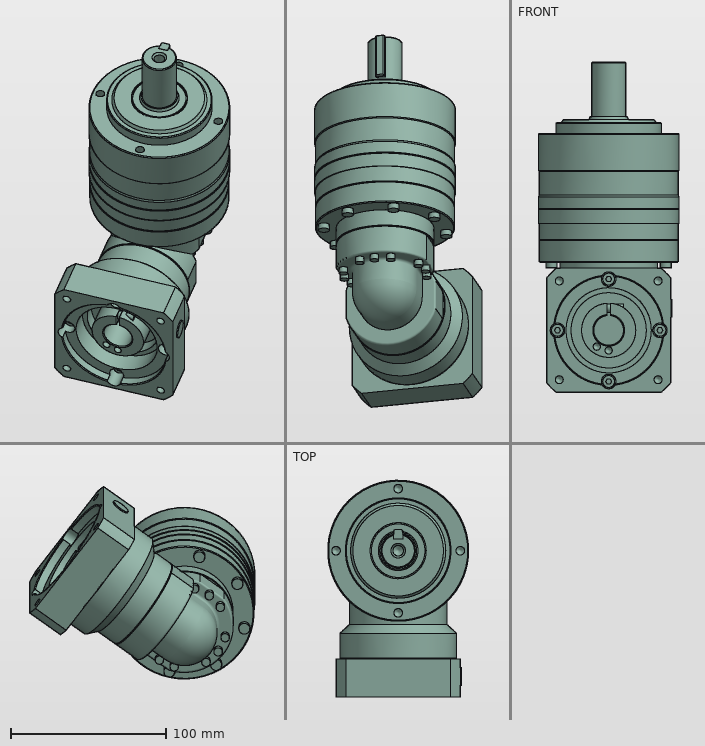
import cadquery as cq
import math


overall_width = 91.0
overall_depth = 140.0
overall_height = 213.0

clearance = 2.1

flange_width = 80.0
flange_half = flange_width / 2
flange_corner_radius = 52.5
motor_face = overall_depth - overall_width / 2
flange_thick = 24.7
flange_back = motor_face - flange_thick
flange_hole_spacing = 63.7
flange_hole_offset = flange_hole_spacing / 2
flange_hole_radius = 2.5
flange_hole_depth = 12.8

pilot_radius = 35.0
pilot_depth = 6.0
pilot_chamfer = 0.6
upper_bore_radius = 27.5
upper_bore_depth = 19.2
lower_bore_radius = 24.3
lower_bore_depth = 27.7

pocket_circle_radius = 33.0
pocket_radius = 4.7
pocket_depth = 15.0
flange_screw_radius = 3.8
flange_screw_height = 3.8
flange_socket_width = 3.8
flange_socket_depth = 2.1

hub_radius = 17.5
hub_face_depth = 8.3
hub_bore_radius = 9.5
hub_bore_chamfer = 0.6
hub_slot_width = 2.1
hub_hole_radius = 2.3
hub_hole_circle = 13.0
hub_hole_depth = 5.3
hub_hole_angles = (234, 270)

clamp_height = 14.3
clamp_depth = 13.5
clamp_screw_radius = 2.8
clamp_screw_reach = 9.5
plug_radius = 5.8
plug_proud = 0.9
access_radius = 4.7

adapter_radius = 37.7
adapter_cone_start = 47.5
adapter_cone_end = 53.2

housing_radius = 31.5
housing_flat = 30.0
housing_inner = 14.5
housing_outer = 32.5
housing_edge_fillet = 1.3
elbow_root_fillet = 2.0
elbow_radius = 21.0
joint_groove_width = 0.6
joint_groove_depth = 0.5

cover_bolt_circle = 27.0
cover_bolt_radius = 2.8
cover_bolt_height = 3.6
cover_bolt_angles = [side + step for side in (0, 90, 180) for step in (-22.5, 0, 22.5)]

body_radius = overall_width / 2
sleeve_radius = 45.0
body_bottom = 43.9
sleeve_joint = 58.0
ring_bottom = 68.8
ring_joint = 77.7
ring_top = 85.8
ring_cone_top = 87.1
head_bottom = 102.5
body_top = 127.0
body_chamfer = 0.6

body_bolt_circle = 39.8
body_bolt_radius = 3.6
body_bolt_height = 3.6
body_bolt_angles = (-22.5, 22.5, 67.5, 112.5, 157.5, 202.5)

mount_hole_circle = 40.0
mount_hole_radius = 2.8
mount_hole_depth = 15.0
drill_point_angle = 118

boss_radius = 34.0
boss_top = 134.0
boss_chamfer = 0.6
cap_base_radius = 30.7
cap_top_radius = 29.2
cap_top = 136.0
seal_outer_radius = 18.0
seal_inner_radius = 17.3
seal_depth = 0.9
collar_radius = 12.8
collar_top_radius = 12.0
collar_top = 137.8
shaft_radius = 11.0
shaft_top = overall_height - flange_half
shaft_chamfer = 0.6

center_hole_radius = 3.5
center_sink_radius = 4.7
center_hole_depth = 17.0

key_width = 6.0
key_outer = 13.6
key_bottom = 144.8
key_chamfer = 0.9
key_recess = 0.2


def rod(radius, start, end):
    """Cylinder on the Z axis."""
    return cq.Workplane("XY").workplane(offset=start).circle(radius).extrude(end - start)


def input_rod(radius, start, end):
    """Cylinder on the motor axis, between two distances from the output axis."""
    return cq.Workplane("XZ").workplane(offset=start).circle(radius).extrude(end - start)


def ring(outer, inner, start, end):
    """Tube on the Z axis."""
    return rod(outer, start, end).cut(rod(inner, start, end))


def polar(radius, angles):
    """Points on a circle at the given angles in degrees."""
    return [(radius * math.cos(math.radians(a)), radius * math.sin(math.radians(a))) for a in angles]


def drilled_hole(radius, depth):
    """Blind hole with a conical drill point, going down from the origin."""
    point = radius / math.tan(math.radians(drill_point_angle / 2))
    profile = [(0, 0), (radius, 0), (radius, -depth), (0, -depth - point)]
    return cq.Workplane("XZ").polyline(profile).close().revolve(360, (0, 0, 0), (0, 1, 0))


def to_motor_face(tool):
    """Turn a tool built along Z so that its +Z points along the motor axis and move it to the face."""
    return tool.rotate((0, 0, 0), (1, 0, 0), 90).translate((0, -motor_face, 0))


def make_planetary_body():
    c = body_chamfer
    outline = [
        (0, body_bottom),
        (sleeve_radius - c, body_bottom),
        (sleeve_radius, body_bottom + c),
        (sleeve_radius, ring_bottom),
        (body_radius, ring_bottom),
        (body_radius, ring_top),
        (sleeve_radius, ring_cone_top),
        (sleeve_radius, head_bottom),
        (body_radius, head_bottom + c),
        (body_radius, body_top - c),
        (body_radius - c, body_top),
        (boss_radius, body_top),
        (boss_radius, boss_top - boss_chamfer),
        (boss_radius - boss_chamfer, boss_top),
        (cap_base_radius, boss_top),
        (cap_top_radius, cap_top),
        (collar_radius, cap_top),
        (collar_top_radius, collar_top),
        (shaft_radius, collar_top),
        (shaft_radius, shaft_top - shaft_chamfer),
        (shaft_radius - shaft_chamfer, shaft_top),
        (0, shaft_top),
    ]
    body = cq.Workplane("XZ").polyline(outline).close().revolve(360, (0, 0, 0), (0, 1, 0))

    for radius, height in ((sleeve_radius, sleeve_joint), (body_radius, ring_joint)):
        groove_top = height + joint_groove_width
        body = body.cut(ring(radius + clearance, radius - joint_groove_depth, height, groove_top))
    body = body.cut(ring(seal_outer_radius, seal_inner_radius, cap_top - seal_depth, cap_top))

    for x, y in polar(mount_hole_circle, range(0, 360, 90)):
        body = body.cut(drilled_hole(mount_hole_radius, mount_hole_depth).translate((x, y, body_top)))

    bolts = (
        cq.Workplane("XY").workplane(offset=body_bottom - body_bolt_height)
        .pushPoints(polar(body_bolt_circle, body_bolt_angles))
        .circle(body_bolt_radius).extrude(2 * body_bolt_height)
    )
    return body.union(bolts)


def make_key():
    key_length = shaft_top - key_bottom
    return (
        cq.Workplane("XY").workplane(offset=key_bottom)
        .center(0, key_outer - key_width / 2).rect(key_width, key_width).extrude(key_length)
        .edges(">Y and (|Z or <Z)").chamfer(key_chamfer)
    )


def make_shaft_end_cuts():
    """Countersunk center hole and the open end of the keyway."""
    sink_depth = center_sink_radius - center_hole_radius
    sink = cq.Workplane(cq.Solid.makeCone(center_hole_radius, center_sink_radius, sink_depth))
    hole = drilled_hole(center_hole_radius, center_hole_depth)
    keyway_end = (
        cq.Workplane("XY").center(0, key_outer - key_width / 2)
        .rect(key_width, key_width).extrude(-key_recess)
    )
    cuts = hole.union(sink.translate((0, 0, -sink_depth))).union(keyway_end)
    return cuts.translate((0, 0, shaft_top))


def make_angle_housing():
    slab = cq.Workplane("XY").box(2 * housing_flat, 4 * housing_radius, 4 * housing_radius)
    upright = rod(housing_radius, housing_inner, housing_outer).intersect(slab)
    upright = upright.faces("<Z").edges().fillet(housing_edge_fillet)
    legs = upright.union(upright.rotate((0, 0, 0), (1, 0, 0), 90))

    elbow_block = cq.Workplane("XY").box(
        2 * elbow_radius, elbow_radius, elbow_radius, centered=(True, False, False)
    ).translate((0, -elbow_radius, 0))
    elbow = (
        cq.Workplane("XY").sphere(elbow_radius)
        .union(rod(elbow_radius, 0, elbow_radius))
        .union(input_rod(elbow_radius, 0, elbow_radius))
        .union(elbow_block)
    )

    housing = legs.union(elbow)
    elbow_reach = elbow_radius + elbow_root_fillet
    around_elbow = cq.selectors.BoxSelector(
        (-elbow_reach, -elbow_reach, 0), (elbow_reach, elbow_reach, elbow_reach), boundingbox=True
    )
    root_edges = housing.faces("-Z").edges(around_elbow)
    housing = root_edges.fillet(elbow_root_fillet)

    bolts = (
        cq.Workplane("XY").workplane(offset=housing_inner - cover_bolt_height)
        .pushPoints(polar(cover_bolt_circle, cover_bolt_angles))
        .circle(cover_bolt_radius).extrude(2 * cover_bolt_height)
    )
    neck_groove_radius = housing_radius - joint_groove_depth
    neck_start = housing_outer + joint_groove_width
    neck = rod(housing_radius, neck_start, body_bottom)
    neck = neck.union(rod(neck_groove_radius, housing_outer, neck_start))
    return housing.union(bolts).union(neck)


def make_input_adapter():
    groove_radius = housing_radius - joint_groove_depth
    outline = [
        (0, housing_outer),
        (groove_radius, housing_outer),
        (groove_radius, housing_outer + joint_groove_width),
        (housing_radius, housing_outer + joint_groove_width),
        (housing_radius, adapter_cone_start),
        (adapter_radius, adapter_cone_end),
        (adapter_radius, flange_back - joint_groove_width),
        (adapter_radius - joint_groove_width, flange_back),
        (0, flange_back),
    ]
    adapter = cq.Workplane("XZ").polyline(outline).close().revolve(360, (0, 0, 0), (0, 1, 0))
    return adapter.rotate((0, 0, 0), (1, 0, 0), 90)


def make_flange():
    flange = (
        cq.Workplane("XZ").workplane(offset=flange_back)
        .rect(flange_width, flange_width).extrude(flange_thick)
        .intersect(input_rod(flange_corner_radius, flange_back, motor_face))
    )
    plug = (
        cq.Workplane("YZ").workplane(offset=flange_half)
        .center(clamp_depth - motor_face, clamp_height).circle(plug_radius).extrude(plug_proud)
    )
    return flange.union(plug)


def make_motor_recess():
    """Everything removed from the motor face, built pointing down from z = 0."""
    outline = [
        (0, 0),
        (pilot_radius + pilot_chamfer, 0),
        (pilot_radius, -pilot_chamfer),
        (pilot_radius, -pilot_depth),
        (upper_bore_radius, -pilot_depth),
        (upper_bore_radius, -upper_bore_depth),
        (lower_bore_radius, -upper_bore_depth),
        (lower_bore_radius, -lower_bore_depth),
        (0, -lower_bore_depth),
    ]
    recess = cq.Workplane("XZ").polyline(outline).close().revolve(360, (0, 0, 0), (0, 1, 0))

    pockets = (
        cq.Workplane("XY").pushPoints(polar(pocket_circle_radius, range(0, 360, 90)))
        .circle(pocket_radius).extrude(-pocket_depth)
    )
    recess = recess.union(pockets)

    for x in (-flange_hole_offset, flange_hole_offset):
        for y in (-flange_hole_offset, flange_hole_offset):
            recess = recess.union(drilled_hole(flange_hole_radius, flange_hole_depth).translate((x, y, 0)))

    access = (
        cq.Workplane("YZ").center(clamp_height, -clamp_depth)
        .circle(access_radius).extrude(flange_half)
    )
    return recess.union(access)


def make_flange_screws():
    """Socket head screws standing on the pocket floors, below z = 0."""
    points = polar(pocket_circle_radius, range(0, 360, 90))
    head_top = flange_screw_height - pocket_depth
    heads = (
        cq.Workplane("XY").workplane(offset=-pocket_depth).pushPoints(points)
        .circle(flange_screw_radius).extrude(flange_screw_height)
    )
    sockets = (
        cq.Workplane("XY").workplane(offset=head_top).pushPoints(points)
        .polygon(6, flange_socket_width).extrude(-flange_socket_depth)
    )
    return heads.cut(sockets)


def make_clamping_hub():
    """Split hub standing on the recess floor, below z = 0."""
    hub_height = lower_bore_depth - hub_face_depth
    hub = (
        cq.Workplane("XY").workplane(offset=-lower_bore_depth)
        .circle(hub_radius).circle(hub_bore_radius).extrude(hub_height)
        .faces(">Z").edges("%CIRCLE").edges(cq.selectors.RadiusNthSelector(0)).chamfer(hub_bore_chamfer)
    )
    slot_length = 2 * (hub_radius - hub_bore_radius + clearance)
    slot = (
        cq.Workplane("XY").workplane(offset=-lower_bore_depth)
        .center(0, hub_radius).rect(hub_slot_width, slot_length).extrude(hub_height)
    )
    screw = (
        cq.Workplane("YZ").workplane(offset=-hub_slot_width).center(clamp_height, -clamp_depth)
        .circle(clamp_screw_radius).extrude(clamp_screw_reach + hub_slot_width)
    )
    hub = hub.cut(slot).union(screw)
    for x, y in polar(hub_hole_circle, hub_hole_angles):
        hub = hub.cut(drilled_hole(hub_hole_radius, hub_hole_depth).translate((x, y, -hub_face_depth)))
    return hub


result = (
    make_planetary_body()
    .union(make_key())
    .cut(make_shaft_end_cuts())
    .union(make_angle_housing())
    .union(make_input_adapter())
    .union(make_flange())
    .cut(to_motor_face(make_motor_recess()))
    .union(to_motor_face(make_flange_screws()))
    .union(to_motor_face(make_clamping_hub()))
)